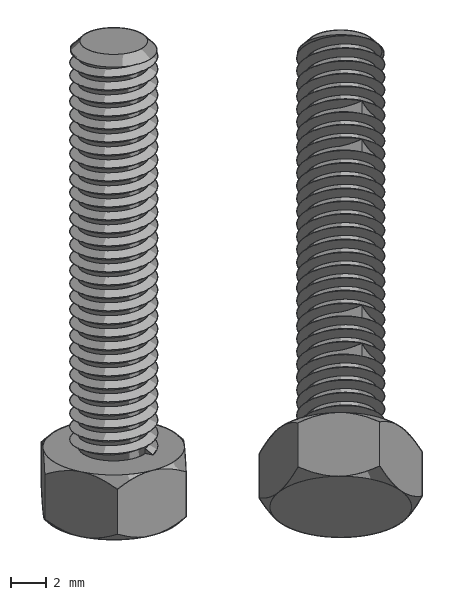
import cadquery as cq
import math

length = 29.0
across_flats = 8.0
head_height = 4.0
across_corners = across_flats / math.cos(math.radians(30))
head_chamfer = (across_corners - across_flats) / 2

major_radius = 2.5
root_radius = 2.0
pitch = 0.8
flank_angle = math.radians(30)
ridge_embed = 0.05
thread_turns = 31

tip_height = 0.55
tip_base_radius = 2.45
tip_end_radius = 1.9
thread_end = length - tip_height

web_grooves = (5, 8, 21, 24)
web_half_angle = math.radians(30)


def make_head():
    prism = cq.Workplane("XY").polygon(6, across_corners).extrude(head_height)
    envelope = (
        cq.Workplane("XY")
        .circle(across_corners / 2)
        .extrude(head_height)
        .faces("<Z or >Z")
        .chamfer(head_chamfer)
    )
    return prism.intersect(envelope)


def make_ridge():
    """Helical ridge whose crest starts at +X, level with the top of the head."""
    inner_radius = root_radius - ridge_embed
    half_base = (major_radius - inner_radius) * math.tan(flank_angle)
    rise = pitch * thread_turns
    section = [
        (inner_radius, head_height - half_base),
        (major_radius, head_height),
        (inner_radius, head_height + half_base),
    ]
    helices = [
        cq.Wire.makeHelix(pitch, rise, radius).translate(cq.Vector(0, 0, height))
        for radius, height in section
    ]
    faces = [
        cq.Face.makeRuledSurface(helices[side], helices[(side + 1) % len(helices)])
        for side in range(len(helices))
    ]
    for end_height in (0, rise):
        corners = [cq.Vector(radius, 0, height + end_height) for radius, height in section]
        faces.append(cq.Face.makeFromWires(cq.Wire.makePolygon(corners, close=True)))
    return cq.Solid.makeSolid(cq.Shell.makeShell(faces))


def make_threaded_shank():
    """Core with its ridge, trimmed flat at the head and at the tip."""
    core = cq.Workplane("XY").circle(root_radius).extrude(length)
    threaded_zone = (
        cq.Workplane("XY", origin=(0, 0, head_height))
        .circle(across_flats / 2)
        .extrude(thread_end - head_height)
    )
    return core.union(cq.Workplane(make_ridge())).intersect(threaded_zone)


def make_web(groove):
    """Wedge filling one groove between two neighbouring crests at -X."""
    lower_crest = head_height + (groove + 0.5) * pitch
    foot_x = -root_radius * math.cos(web_half_angle)
    foot_y = root_radius * math.sin(web_half_angle)
    return (
        cq.Workplane("XY", origin=(0, 0, lower_crest))
        .polyline([(-major_radius, 0), (foot_x, foot_y), (0, 0), (foot_x, -foot_y)])
        .close()
        .extrude(pitch)
    )


def make_tip():
    return (
        cq.Workplane("XZ")
        .moveTo(0, thread_end)
        .lineTo(tip_base_radius, thread_end)
        .lineTo(tip_end_radius, length)
        .lineTo(0, length)
        .close()
        .revolve(360, (0, 0, 0), (0, 1, 0))
    )


result = make_threaded_shank()
for groove in web_grooves:
    result = result.union(make_web(groove))
result = result.union(make_head()).union(make_tip())